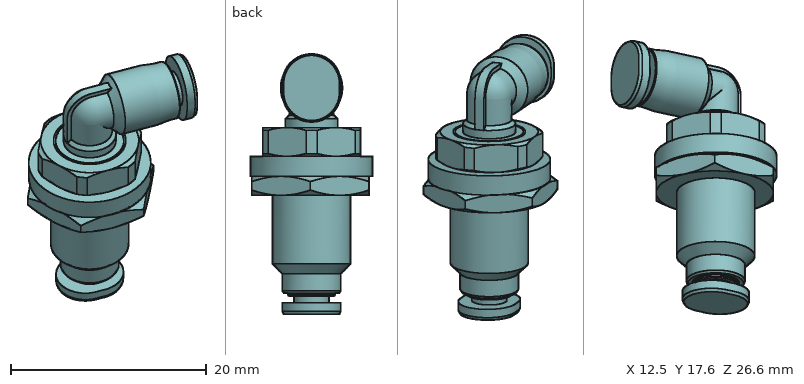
import cadquery as cq
import math


collar_bottom = 1.87
body_bottom = 2.19
cone_bottom = 4.15
cone_top = 5.17
nut_bottom = 12.18
washer_bottom = 14.12
hex_bottom = 16.18
hex_top = 19.1
stem_cone_bottom = 20.0
port_axis = 23.15

button_width = 6.0
button_length = 6.98
button_thickness = 1.2
button_chamfer = 0.32
button_chamfer_inset = 0.15
button_neck_radius = 1.8
button_insertion = cone_bottom - body_bottom

barrel_radius = 4.0
socket_radius = button_width / 2
socket_chamfer = 0.25
socket_chamfer_inset = 0.15
collar_radius = 2.43
collar_chamfer = 0.13
washer_diameter = 12.5
bush_radius = 3.5
bush_countersink = 0.2

chamfer_slope = math.tan(math.radians(30))
hex_across_flats = 10.02
hex_corner_radius = 5.5
nut_across_flats = 12.0
nut_offset_x = 0.12
nut_offset_y = 0.048

stem_radius = 2.7
tube_radius = 2.3
rib_width = 0.99
rib_end = 2.4
port_cone_start = 1.75
port_cone_end = 2.66
port_radius = 3.17
taper_start = 6.53
taper_end = 7.95
mouth_radius = 3.0
mouth_end = 8.8
mouth_chamfer = 0.1
port_button_face = 10.7


def disc(radius, bottom, top):
    """Upright cylinder on the vertical axis between two levels."""
    return cq.Workplane("XY").workplane(offset=bottom).circle(radius).extrude(top - bottom)


def revolved(profile):
    """Solid of revolution about Z from (radius, height) points that start and end on the axis."""
    return cq.Workplane("XZ").polyline(profile).close().revolve(360, (0, 0), (0, 1))


def chamfered_hexagon(across_flats, bottom, top, outer_radius):
    """Hexagon with corners on +Y and -Y, corners cut at outer_radius and 30 degree chamfered ends."""
    corner_radius = across_flats / math.sqrt(3)
    flat_radius = across_flats / 2
    drop = (outer_radius - flat_radius) * chamfer_slope
    prism = (
        cq.Workplane("XY")
        .workplane(offset=bottom)
        .polygon(6, 2 * corner_radius)
        .extrude(top - bottom)
        .rotate((0, 0, 0), (0, 0, 1), 30)
    )
    envelope = revolved([
        (0, bottom),
        (flat_radius, bottom),
        (outer_radius, bottom + drop),
        (outer_radius, top - drop),
        (flat_radius, top),
        (0, top),
    ])
    return prism.intersect(envelope)


def make_button(neck_length):
    """Obround release button, long along Y, with its outer face on Z = 0 and its neck pointing up."""
    head = cq.Workplane("XY").slot2D(button_length, button_width, 90).extrude(button_thickness)
    head = head.faces("<Z").chamfer(button_chamfer, button_chamfer_inset)
    neck = disc(button_neck_radius, button_thickness, neck_length)
    return head.union(neck)


def make_body():
    """Hexagon head and barrel, recessed for the bush at the top and the collar at the bottom."""
    barrel = revolved([
        (0, body_bottom),
        (socket_radius - socket_chamfer_inset, body_bottom),
        (socket_radius, body_bottom + socket_chamfer),
        (socket_radius, cone_bottom),
        (barrel_radius, cone_top),
        (barrel_radius, hex_bottom),
        (0, hex_bottom),
    ])
    head = chamfered_hexagon(hex_across_flats, hex_bottom, hex_top, hex_corner_radius)
    bush_recess = revolved([
        (0, hex_bottom),
        (bush_radius, hex_bottom),
        (bush_radius, hex_top - bush_countersink),
        (bush_radius + bush_countersink, hex_top),
        (0, hex_top),
    ])
    collar_recess = disc(collar_radius, body_bottom, cone_bottom)
    return barrel.union(head).cut(bush_recess).cut(collar_recess)


def make_bush():
    """Ring that fills the head around the elbow stem."""
    return disc(bush_radius, hex_bottom, hex_top).cut(disc(stem_radius, hex_bottom, hex_top))


def make_collar():
    """Ring in the lower socket that guides the button neck."""
    ring = disc(collar_radius, collar_bottom, cone_bottom).faces("<Z").edges().chamfer(collar_chamfer)
    return ring.cut(disc(button_neck_radius, collar_bottom, cone_bottom))


def make_washer():
    ring = disc(washer_diameter / 2, washer_bottom, hex_bottom)
    return ring.cut(disc(barrel_radius, washer_bottom, hex_bottom))


def make_nut():
    """Full-cornered nut whose outline sits slightly off the barrel axis."""
    corner_radius = nut_across_flats / math.sqrt(3)
    outline = chamfered_hexagon(nut_across_flats, nut_bottom, washer_bottom, corner_radius)
    outline = outline.translate((nut_offset_x, nut_offset_y, 0))
    return outline.cut(disc(barrel_radius, nut_bottom, washer_bottom))


def to_port(solid):
    """Turn a solid built along Z onto the port axis, so that its +Z becomes +Y."""
    return solid.rotate((0, 0, 0), (1, 0, 0), -90).translate((0, 0, port_axis))


def make_elbow():
    """Vertical stem, ball corner, side port and the rib around the outside of the bend."""
    stem_cone_top = stem_cone_bottom + stem_radius - tube_radius
    stem = revolved([
        (0, hex_bottom),
        (stem_radius, hex_bottom),
        (stem_radius, stem_cone_bottom),
        (tube_radius, stem_cone_top),
        (tube_radius, port_axis),
        (0, port_axis),
    ])
    ball = cq.Workplane("XY").sphere(tube_radius).translate((0, 0, port_axis))
    port = to_port(revolved([
        (0, 0),
        (tube_radius, 0),
        (tube_radius, port_cone_start),
        (port_radius, port_cone_end),
        (port_radius, taper_start),
        (mouth_radius, taper_end),
        (mouth_radius, mouth_end - mouth_chamfer),
        (mouth_radius - mouth_chamfer, mouth_end),
        (0, mouth_end),
    ]))
    bend_point = stem_radius * math.sqrt(0.5)
    rib = (
        cq.Workplane("YZ")
        .moveTo(0, stem_cone_bottom)
        .lineTo(-stem_radius, stem_cone_bottom)
        .lineTo(-stem_radius, port_axis)
        .threePointArc((-bend_point, port_axis + bend_point), (0, port_axis + stem_radius))
        .lineTo(rib_end, port_axis + stem_radius)
        .lineTo(rib_end, port_axis)
        .lineTo(0, port_axis)
        .close()
        .extrude(rib_width / 2, both=True)
    )
    neck_hole = to_port(disc(button_neck_radius, mouth_end - button_insertion, mouth_end))
    return stem.union(ball).union(port).union(rib).cut(neck_hole)


def make_port_button():
    """Release button of the side port, long along Z."""
    neck_length = port_button_face - mouth_end + button_insertion
    button = make_button(neck_length).rotate((0, 0, 0), (1, 0, 0), 90)
    return button.translate((0, port_button_face, port_axis))


elbow = make_elbow()
port_button = make_port_button()
bush = make_bush()
body = make_body()
washer = make_washer()
nut = make_nut()
collar = make_collar()
barrel_button = make_button(cone_bottom)

result = cq.Compound.makeCompound([
    elbow.val(),
    port_button.val(),
    bush.val(),
    body.val(),
    washer.val(),
    nut.val(),
    collar.val(),
    barrel_button.val(),
])